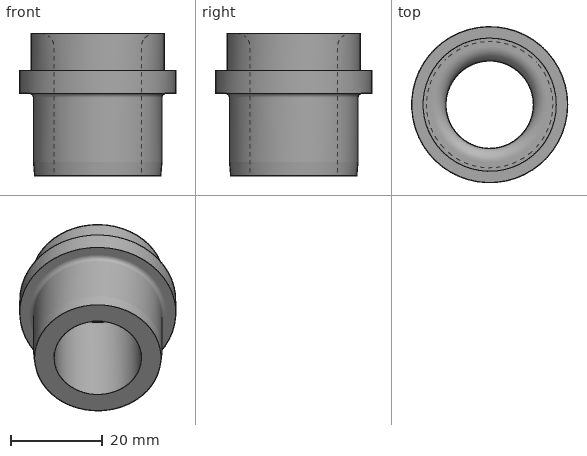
import cadquery as cq

total_height = 31.0
top_collar_height = 8.02
flange_height = 5.0
flange_top = total_height - top_collar_height
flange_bottom = flange_top - flange_height

flange_diameter = 34.0
top_collar_diameter = 29.0
shank_diameter = 28.0
shank_tip_diameter = 27.5
bore_diameter = 19.0

lead_in_height = 3.0
mouth_radius = 3.0
root_fillet_radius = 1.0

flange_radius = flange_diameter / 2
top_collar_radius = top_collar_diameter / 2
shank_radius = shank_diameter / 2
shank_tip_radius = shank_tip_diameter / 2
bore_radius = bore_diameter / 2

half_section = (
    cq.Workplane("XZ")
    .moveTo(bore_radius, 0)
    .lineTo(shank_tip_radius, 0)
    .lineTo(shank_radius, lead_in_height)
    .lineTo(shank_radius, flange_bottom - root_fillet_radius)
    .tangentArcPoint((root_fillet_radius, root_fillet_radius))
    .lineTo(flange_radius, flange_bottom)
    .lineTo(flange_radius, flange_top)
    .lineTo(top_collar_radius, flange_top)
    .lineTo(top_collar_radius, total_height)
    .lineTo(bore_radius + mouth_radius, total_height)
    .tangentArcPoint((-mouth_radius, -mouth_radius))
    .close()
)

result = half_section.revolve(360, (0, 0, 0), (0, 1, 0))